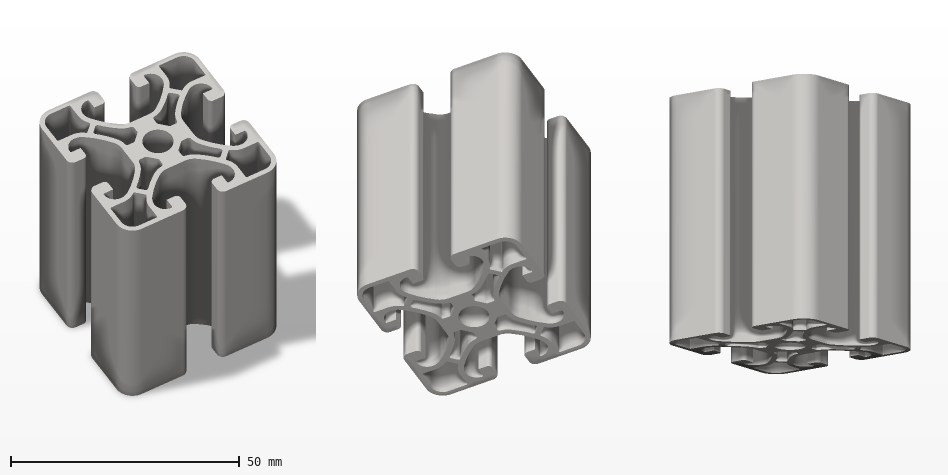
import cadquery as cq
import math

length = 55.0
width = 40.0
corner_radius = 4.0
bore_diameter = 6.8

slot_half_opening = 4.0
slot_half_width = 10.0
slot_floor = 7.8
floor_half_width = 2.25
floor_radius = 4.0
flank_radius = 21.45
flank_half_angle = 9.0
lip_thickness = 4.45
lip_inner_face = 7.0
lip_outer_radius = 1.5
lip_inner_radius = 1.0
groove_radius = 2.75

wall = 1.25
outer_wall = 1.15
cavity_web_distance = 15.6
cavity_edge_radius = 0.3
pocket_inner_distance = 4.95
pocket_outer_distance = 14.35
pocket_side = 2.5
pocket_edge_radius = 0.55

half_width = width / 2

floor_end_angle = -45 - flank_half_angle
side_start_angle = -45 + flank_half_angle


def on_circle(center, radius, angle):
    """Point at an angle, in degrees, on a circle."""
    turn = math.radians(angle)
    return (center[0] + radius * math.cos(turn), center[1] + radius * math.sin(turn))


floor_center = (floor_half_width, slot_floor + floor_radius)
flank_center = on_circle(floor_center, floor_radius - flank_radius, floor_end_angle)
side_start = on_circle(flank_center, flank_radius, side_start_angle)
side_radius = (slot_half_width - side_start[0]) / (1 - math.cos(math.radians(side_start_angle)))
side_center = on_circle(side_start, -side_radius, side_start_angle)


def continue_arc(outline, center, radius, start, end):
    """Draw an arc that starts where the outline has arrived."""
    middle = on_circle(center, radius, (start + end) / 2)
    return outline.threePointArc(middle, on_circle(center, radius, end))


def arc(outline, center, radius, start, end):
    """Draw a line to the start of an arc and then the arc."""
    outline = outline.lineTo(*on_circle(center, radius, start))
    return continue_arc(outline, center, radius, start, end)


def swapped(point):
    """Mirror a point in the diagonal plane X = Y."""
    return (point[1], point[0])


def flank_angle_at(distance, radius):
    """Angle on an arc around the flank centre where it meets a diagonal plane this far from the axis."""
    center_distance = (flank_center[0] + flank_center[1]) / math.sqrt(2)
    return math.degrees(math.asin((distance - center_distance) / radius)) - 45


def round_edges(solid, corners, radius):
    """Fillet the upright edges at the given corners and at their mirror images in X = Y."""
    for corner in corners:
        for x, y in (corner, swapped(corner)):
            nearest = cq.selectors.NearestToPointSelector((x, y, length / 2))
            solid = solid.edges(nearest).fillet(radius)
    return solid


def slot():
    """Cutter for the T-slot on the +Y side."""
    lip_end = half_width - lip_thickness
    lip_outer = (slot_half_opening + lip_outer_radius, half_width - lip_outer_radius)
    lip_inner = (slot_half_opening + lip_inner_radius, lip_end + lip_inner_radius)
    groove_center = (slot_half_width - groove_radius, side_center[1])
    groove_relief_radius = groove_center[0] - lip_inner_face
    groove_top = groove_center[1] + groove_radius
    relief_center = (groove_center[0], groove_top - groove_relief_radius)

    outline = cq.Workplane("XY").moveTo(0, half_width)
    outline = arc(outline, lip_outer, lip_outer_radius, 90, 180)
    outline = arc(outline, lip_inner, lip_inner_radius, 180, 270)
    outline = outline.lineTo(lip_inner_face, lip_end)
    outline = arc(outline, relief_center, groove_relief_radius, 180, 90)
    outline = continue_arc(outline, groove_center, groove_radius, 90, 0)
    outline = continue_arc(outline, side_center, side_radius, 0, side_start_angle)
    outline = continue_arc(outline, flank_center, flank_radius, side_start_angle, floor_end_angle)
    outline = continue_arc(outline, floor_center, floor_radius, floor_end_angle, -90)
    half = outline.lineTo(0, slot_floor).close().extrude(length)
    return half.union(half.mirror("YZ"))


def corner_cavity():
    """Cutter for the hollow in the +X +Y corner."""
    outside = half_width - outer_wall
    inside = slot_half_width + wall
    center = (half_width - corner_radius, half_width - corner_radius)
    side = side_radius + wall
    flank = flank_radius + wall
    web_angle = flank_angle_at(cavity_web_distance, flank)
    web_end = on_circle(flank_center, flank, web_angle)

    outline = cq.Workplane("XY").moveTo(inside, outside)
    outline = arc(outline, center, corner_radius - outer_wall, 90, 0)
    outline = outline.lineTo(outside, inside)
    outline = arc(outline, swapped(side_center), side, 90, 90 - side_start_angle)
    outline = continue_arc(outline, swapped(flank_center), flank, 90 - side_start_angle, 90 - web_angle)
    outline = arc(outline, flank_center, flank, web_angle, side_start_angle)
    outline = continue_arc(outline, side_center, side, side_start_angle, 0)
    cavity = outline.close().extrude(length)
    return round_edges(cavity, [web_end, (inside, outside)], cavity_edge_radius)


def diagonal_pocket():
    """Cutter for the hollow in the +X +Y web between two slots."""
    root = floor_radius + wall
    flank = flank_radius + wall
    side_angle = -math.degrees(math.acos((pocket_side - floor_half_width) / root))
    outer_angle = flank_angle_at(pocket_outer_distance, flank)

    inner_corner = (pocket_side, pocket_inner_distance * math.sqrt(2) - pocket_side)
    root_corner = on_circle(floor_center, root, side_angle)
    outer_corner = on_circle(flank_center, flank, outer_angle)

    outline = cq.Workplane("XY").moveTo(*inner_corner)
    outline = arc(outline, floor_center, root, side_angle, floor_end_angle)
    outline = continue_arc(outline, flank_center, flank, floor_end_angle, outer_angle)
    outline = arc(outline, swapped(flank_center), flank, 90 - outer_angle, 90 - floor_end_angle)
    outline = continue_arc(outline, swapped(floor_center), root, 90 - floor_end_angle, 90 - side_angle)
    pocket = outline.lineTo(*swapped(inner_corner)).close().extrude(length)
    return round_edges(pocket, [inner_corner, root_corner, outer_corner], pocket_edge_radius)


result = cq.Workplane("XY").rect(width, width).extrude(length).edges("|Z").fillet(corner_radius)
result = result.faces(">Z").workplane().hole(bore_diameter)

for cutter in (slot(), corner_cavity(), diagonal_pocket()):
    for quarter in range(4):
        result = result.cut(cutter.rotate((0, 0, 0), (0, 0, 1), 90 * quarter))